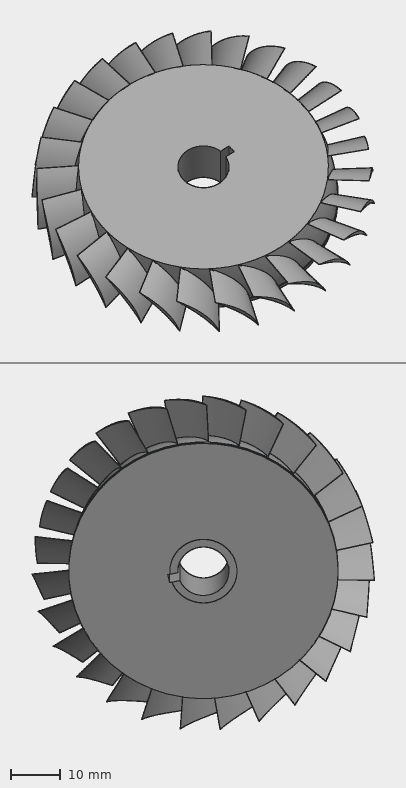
import cadquery as cq
import math

boss_height = 0.15
rim_top = 1.1
blade_bottom = 2.2
total_height = 11.0

boss_diameter = 13.45
rim_diameter = 54.0
hub_base_diameter = 53.75
hub_top_diameter = 50.05
flank_bulge = 0.4
bore_diameter = 10.2
keyway_width = 1.7
keyway_reach = 7.15

blade_count = 27
tip_radius_bottom = 34.4
tip_radius_top = 33.35
section_inner = 22.65
section_outer = 35.0
blade_top_x = 2.4
blade_bottom_x = -6.3
lower_bow = 0.8
upper_bow = 1.5
edge_thickness = 0.1
pitch_angle = 360 / blade_count
lower_edge_slope = math.tan(math.radians(pitch_angle / 2))


def make_hub():
    """Disc with a bulging flank on a thin rim, with a shallow boss underneath."""
    boss_radius = boss_diameter / 2
    rim_radius = rim_diameter / 2
    flank_middle = (
        (hub_base_diameter + hub_top_diameter) / 4 + flank_bulge,
        (rim_top + total_height) / 2,
    )
    return (
        cq.Workplane("XZ")
        .lineTo(boss_radius, 0)
        .lineTo(boss_radius, boss_height)
        .lineTo(rim_radius, boss_height)
        .lineTo(rim_radius, rim_top)
        .lineTo(hub_base_diameter / 2, rim_top)
        .threePointArc(flank_middle, (hub_top_diameter / 2, total_height))
        .lineTo(0, total_height)
        .close()
        .revolve(360, (0, 0), (0, 1))
    )


def blade_section(distance):
    """Crescent between two arcs, on a plane square to the blade's length."""
    bottom_x = blade_bottom_x - (distance - tip_radius_bottom) * lower_edge_slope
    run = blade_top_x - bottom_x
    rise = total_height - blade_bottom
    chord = math.hypot(run, rise)

    def arc_middle(bow):
        x = (bottom_x + blade_top_x) / 2 - bow * rise / chord
        z = (blade_bottom + total_height) / 2 + bow * run / chord
        return cq.Vector(x, distance, z)

    lower_start = cq.Vector(bottom_x, distance, blade_bottom)
    lower_end = cq.Vector(blade_top_x, distance, total_height)
    upper_end = cq.Vector(blade_top_x - edge_thickness, distance, total_height)
    upper_start = cq.Vector(bottom_x - edge_thickness, distance, blade_bottom)
    return cq.Wire.assembleEdges([
        cq.Edge.makeThreePointArc(lower_start, arc_middle(lower_bow), lower_end),
        cq.Edge.makeLine(lower_end, upper_end),
        cq.Edge.makeThreePointArc(upper_end, arc_middle(upper_bow), upper_start),
        cq.Edge.makeLine(upper_start, lower_start),
    ])


def make_blade():
    """Twisted blade trimmed to the conical outer envelope, pointing along +Y."""
    sections = [blade_section(section_inner), blade_section(section_outer)]
    blade = cq.Solid.makeLoft(sections, True)
    envelope = cq.Solid.makeCone(
        tip_radius_bottom,
        tip_radius_top,
        total_height - blade_bottom,
        pnt=cq.Vector(0, 0, blade_bottom),
    )
    return blade.intersect(envelope)


wheel = make_hub()
blade = make_blade()
axis_start = cq.Vector(0, 0, 0)
axis_end = cq.Vector(0, 0, 1)
blades = [
    blade.rotate(axis_start, axis_end, index * pitch_angle)
    for index in range(blade_count)
]
wheel = cq.Workplane(wheel.val().fuse(*blades))

bore = cq.Workplane("XY").circle(bore_diameter / 2).extrude(total_height)
keyway = (
    cq.Workplane("XY")
    .center(0, keyway_reach / 2)
    .rect(keyway_width, keyway_reach)
    .extrude(total_height)
)
result = wheel.cut(bore).cut(keyway)